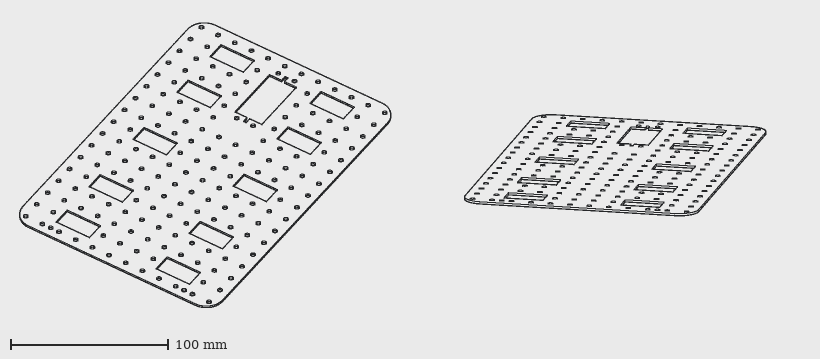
import cadquery as cq

pitch = 12.7
columns = 12
rows = 17
thickness = 1.5
corner_radius = pitch

width = columns * pitch
length = rows * pitch

grid_hole_diameter = 3.048
servo_hole_diameter = 3.0

window_width = 2 * pitch
window_height = pitch
window_offset_x = 3 * pitch
window_rows = (1, 4, 8, 12, 15)
window_columns = (2, 3, 8, 9)

servo_width = 20.5
servo_length = 40.0
servo_center_y = length / 2 - 3 * pitch
notch_width = 2.0
notch_span = 48.2
servo_hole_spacing_x = 12.4
servo_hole_spacing_y = 48.0
servo_columns = (5, 6)
servo_rows = range(1, 6)

extra_hole_offset_x = 4 * pitch


def column_x(column):
    return (column + 0.5) * pitch - width / 2


def row_y(row):
    return length / 2 - (row + 0.5) * pitch


def is_grid_hole(column, row):
    """A grid position has a hole unless a window or the servo opening takes its place."""
    in_window = column in window_columns and row in window_rows
    in_servo_area = column in servo_columns and row in servo_rows
    return not (in_window or in_servo_area)


def through_holes(points, diameter):
    return cq.Workplane("XY").pushPoints(points).circle(diameter / 2).extrude(thickness)


def through_rectangles(points, size_x, size_y):
    return cq.Workplane("XY").pushPoints(points).rect(size_x, size_y).extrude(thickness)


def plate():
    blank = cq.Workplane("XY").rect(width, length).extrude(thickness)
    return blank.edges("|Z").fillet(corner_radius)


def grid_holes():
    points = [
        (column_x(column), row_y(row))
        for column in range(columns)
        for row in range(rows)
        if is_grid_hole(column, row)
    ]
    return through_holes(points, grid_hole_diameter)


def extra_holes():
    points = [(side * extra_hole_offset_x, row_y(rows - 1)) for side in (-1, 1)]
    return through_holes(points, grid_hole_diameter)


def windows():
    points = [(side * window_offset_x, row_y(row)) for side in (-1, 1) for row in window_rows]
    return through_rectangles(points, window_width, window_height)


def servo_opening():
    center = [(0, servo_center_y)]
    body = through_rectangles(center, servo_width, servo_length)
    notches = through_rectangles(center, notch_width, notch_span)
    return body.union(notches)


def servo_mounting_holes():
    points = [
        (side * servo_hole_spacing_x / 2, servo_center_y + end * servo_hole_spacing_y / 2)
        for side in (-1, 1)
        for end in (-1, 1)
    ]
    return through_holes(points, servo_hole_diameter)


result = (
    plate()
    .cut(grid_holes())
    .cut(extra_holes())
    .cut(windows())
    .cut(servo_opening())
    .cut(servo_mounting_holes())
)